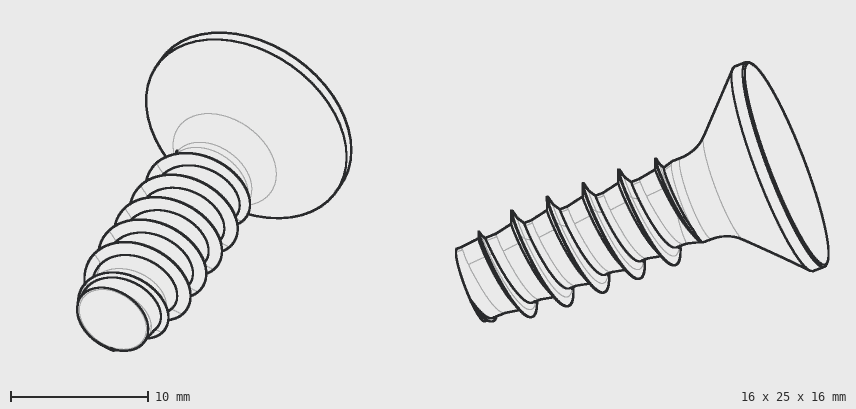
import cadquery as cq
import math

length = 25.0
head_radius = 8.0
rim_height = 1.0
rim_chamfer = 0.12
shank_radius = 3.18
shank_end = 7.8
neck_fillet = 3.22
cone_angle = 45
core_radius = 2.82
core_start = 9.02
dish_radius = 2.68
dish_depth = 0.18

pitch = 2.82
crest_height = 1.18
crest_depth = 11.58
first_turn = -1.6
last_turn = 4.9
turns_per_piece = 0.5
run_in_end = 9.88
run_in_length = 5.0
run_out_start = 20.82
run_out_length = 4.62
least_height_factor = 0.05
points_per_turn = 16
buried_height = -0.12
root_sink = 0.02

upper_root = (-0.55, -root_sink)
upper_knee = (-0.2, 0.52)
crest_top = (-0.02, crest_height)
crest_bottom = (0.02, crest_height)
lower_root = (0.38, 0.28)
taper_end = (1.82, -root_sink)
upper_base = (upper_root[0], buried_height)
lower_base = (taper_end[0], buried_height)
thread_section = [
    upper_base,
    upper_root,
    upper_knee,
    crest_top,
    crest_bottom,
    lower_root,
    taper_end,
    lower_base,
]


def screw_blank():
    """Countersunk head, filleted neck, shank, core and dished tip."""
    bend = math.radians(cone_angle)
    neck_top_radius = shank_radius + neck_fillet * (1 - math.cos(bend))
    neck_start = rim_height + (head_radius - neck_top_radius) / math.tan(bend)
    neck_end = neck_start + neck_fillet * math.sin(bend)
    neck_mid_radius = shank_radius + neck_fillet * (1 - math.cos(bend / 2))
    neck_mid = neck_end - neck_fillet * math.sin(bend / 2)
    dish_sphere = (dish_radius**2 + dish_depth**2) / (2 * dish_depth)
    half_angle = math.asin(dish_radius / dish_sphere) / 2
    dish_mid_radius = dish_sphere * math.sin(half_angle)
    dish_mid = length - dish_depth + dish_sphere * (1 - math.cos(half_angle))
    return (
        cq.Workplane("XZ")
        .moveTo(0, 0)
        .lineTo(head_radius - rim_chamfer, 0)
        .lineTo(head_radius, rim_chamfer)
        .lineTo(head_radius, rim_height)
        .lineTo(neck_top_radius, neck_start)
        .threePointArc((neck_mid_radius, neck_mid), (shank_radius, neck_end))
        .lineTo(shank_radius, shank_end)
        .lineTo(core_radius, core_start)
        .lineTo(core_radius, length)
        .lineTo(dish_radius, length)
        .threePointArc((dish_mid_radius, dish_mid), (0, length - dish_depth))
        .close()
        .revolve(360, (0, 0, 0), (0, 1, 0))
    )


def height_factor(depth):
    """Share of the full thread height: it grows at the shank and fades at the tip."""
    run_in = 1 - (run_in_end - depth) / run_in_length
    run_out = 1 - (depth - run_out_start) / run_out_length
    return max(least_height_factor, min(1.0, run_in, run_out))


def corner_edge(offset, height, start_turn, end_turn):
    """Helical curve followed by one corner of the thread section."""
    point_count = round((end_turn - start_turn) * points_per_turn) + 1
    points = []
    for step in range(point_count):
        turn = start_turn + step / points_per_turn
        angle = 2 * math.pi * turn
        depth = crest_depth + pitch * turn
        factor = height_factor(depth)
        radius = core_radius + (height * factor if height > 0 else height)
        shift = offset * factor if offset < lower_base[0] else offset
        points.append(cq.Vector(radius * math.cos(angle), radius * math.sin(angle), depth + shift))
    return cq.Edge.makeSpline(points)


def thread_piece(start_turn, end_turn):
    """Stretch of the thread: ruled faces between corner curves, closed by flat ends."""
    edges = [corner_edge(offset, height, start_turn, end_turn) for offset, height in thread_section]
    next_edges = edges[1:] + edges[:1]
    faces = [cq.Face.makeRuledSurface(*pair) for pair in zip(edges, next_edges)]
    for end in (0, 1):
        corners = [edge.positionAt(end) for edge in edges]
        faces.append(cq.Face.makeFromWires(cq.Wire.makePolygon(corners, close=True)))
    return cq.Solid.makeSolid(cq.Shell.makeShell(faces))


def trim(piece):
    """Cut away what passes the shank end or the tip."""
    box = piece.BoundingBox()
    if box.zmin >= shank_end and box.zmax <= length:
        return piece
    slab = cq.Workplane("XY", origin=(0, 0, shank_end)).circle(head_radius).extrude(length - shank_end)
    return piece.intersect(slab.val())


screw = screw_blank()
piece_count = round((last_turn - first_turn) / turns_per_piece)
for index in range(piece_count):
    start = first_turn + index * turns_per_piece
    screw = screw.union(cq.Workplane(trim(thread_piece(start, start + turns_per_piece))))

result = screw.rotate((0, 0, 0), (1, 0, 0), 90)